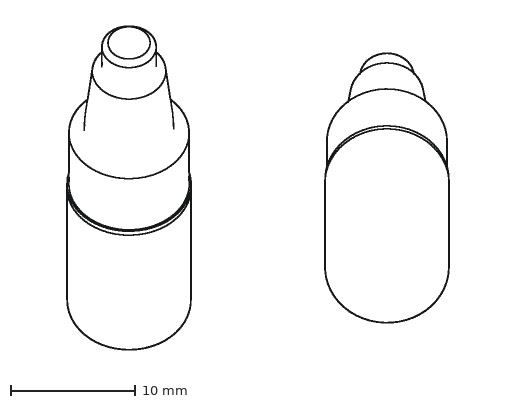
import cadquery as cq
import math

total_height = 33.0

can_radius = 10.0 / 2
can_height = 14.95
can_base_fillet = 1.05

collar_radius = can_radius
collar_height = 0.5
shoulder_radius = 9.7 / 2
shoulder_top = 21.8

nose_tip_radius = 2.97
nose_top = 29.5
taper_end_height = 23.9
taper_end_radius = 3.53
nose_foot_fillet = 0.3

pin_radius = 4.4 / 2
pin_chamfer = 0.5
pin_root_fillet = 0.5

collar_top = can_height + collar_height
nose_foot_height = shoulder_top + nose_foot_fillet
taper_angle = math.atan2(taper_end_radius - nose_tip_radius, nose_top - taper_end_height)
foot_arc_radius = (taper_end_height - nose_foot_height) / math.sin(taper_angle)
nose_foot_radius = taper_end_radius + foot_arc_radius * (1 - math.cos(taper_angle))
foot_arc_middle = (
    nose_foot_radius - foot_arc_radius * (1 - math.cos(taper_angle / 2)),
    nose_foot_height + foot_arc_radius * math.sin(taper_angle / 2),
)


def concave_corner_middle(radius, height, fillet):
    """Middle of a fillet between a wall at radius and a floor at height."""
    offset = fillet * (1 - math.sqrt(0.5))
    return (radius + offset, height + offset)


def make_can():
    """Solid cylinder with a rounded lower rim."""
    cylinder = cq.Workplane("XY").circle(can_radius).extrude(can_height)
    return cylinder.faces("<Z").edges().fillet(can_base_fillet)


def make_plug():
    """Collar, shoulder, tapered nose and pin revolved as one turned body."""
    profile = (
        cq.Workplane("XZ")
        .moveTo(0, can_height)
        .lineTo(collar_radius, can_height)
        .lineTo(collar_radius, collar_top)
        .lineTo(shoulder_radius, collar_top)
        .lineTo(shoulder_radius, shoulder_top)
        .lineTo(nose_foot_radius + nose_foot_fillet, shoulder_top)
        .threePointArc(
            concave_corner_middle(nose_foot_radius, shoulder_top, nose_foot_fillet),
            (nose_foot_radius, nose_foot_height),
        )
        .threePointArc(foot_arc_middle, (taper_end_radius, taper_end_height))
        .lineTo(nose_tip_radius, nose_top)
        .lineTo(pin_radius + pin_root_fillet, nose_top)
        .threePointArc(
            concave_corner_middle(pin_radius, nose_top, pin_root_fillet),
            (pin_radius, nose_top + pin_root_fillet),
        )
        .lineTo(pin_radius, total_height - pin_chamfer)
        .lineTo(pin_radius - pin_chamfer, total_height)
        .lineTo(0, total_height)
        .close()
    )
    return profile.revolve(360, (0, 0, 0), (0, 1, 0))


can = make_can()
plug = make_plug()

result = cq.Compound.makeCompound([can.val(), plug.val()])